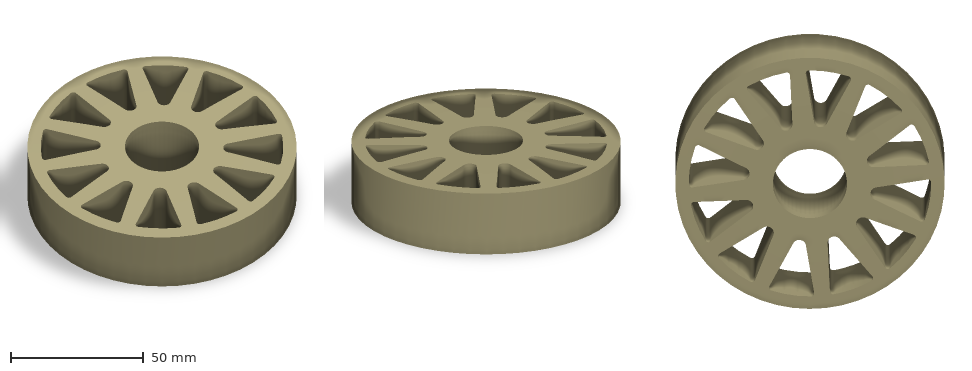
import cadquery as cq
import math

outer_diameter = 101.6
width = 25.4
bore_diameter = 27.9
hub_diameter = 63.5
rim_drop = 0.25

window_count = 12
window_outer_radius = 45.7
window_apex_radius = 17.6
window_half_angle = 18.3
window_inner_fillet = 2.5
window_outer_fillet = 1.2

outer_radius = outer_diameter / 2
bore_radius = bore_diameter / 2
hub_radius = hub_diameter / 2
half_width = width / 2
rim_half_width = half_width - rim_drop


def make_disc():
    """Revolve the section: flat hub faces, then shallow cones down to the rim."""
    return (
        cq.Workplane("XZ")
        .moveTo(bore_radius, half_width)
        .lineTo(hub_radius, half_width)
        .lineTo(outer_radius, rim_half_width)
        .lineTo(outer_radius, -rim_half_width)
        .lineTo(hub_radius, -half_width)
        .lineTo(bore_radius, -half_width)
        .close()
        .revolve(360, (0, 0, 0), (0, 1, 0))
    )


def make_window():
    """One rounded wedge pointing along +X, as tall as the wheel is wide."""
    slope = math.radians(window_half_angle)
    corner_angle = slope - math.asin(window_apex_radius * math.sin(slope) / window_outer_radius)
    corner_x = window_outer_radius * math.cos(corner_angle)
    corner_y = window_outer_radius * math.sin(corner_angle)
    wedge = (
        cq.Workplane("XY", origin=(0, 0, -half_width))
        .moveTo(window_apex_radius, 0)
        .lineTo(corner_x, -corner_y)
        .threePointArc((window_outer_radius, 0), (corner_x, corner_y))
        .close()
        .extrude(width)
    )
    wedge = wedge.edges("|Z and <X").fillet(window_inner_fillet)
    return wedge.edges("|Z and (<Y or >Y)").fillet(window_outer_fillet)


result = make_disc()
window = make_window()
for index in range(window_count):
    angle = index * 360 / window_count
    result = result.cut(window.rotate((0, 0, 0), (0, 0, 1), angle))